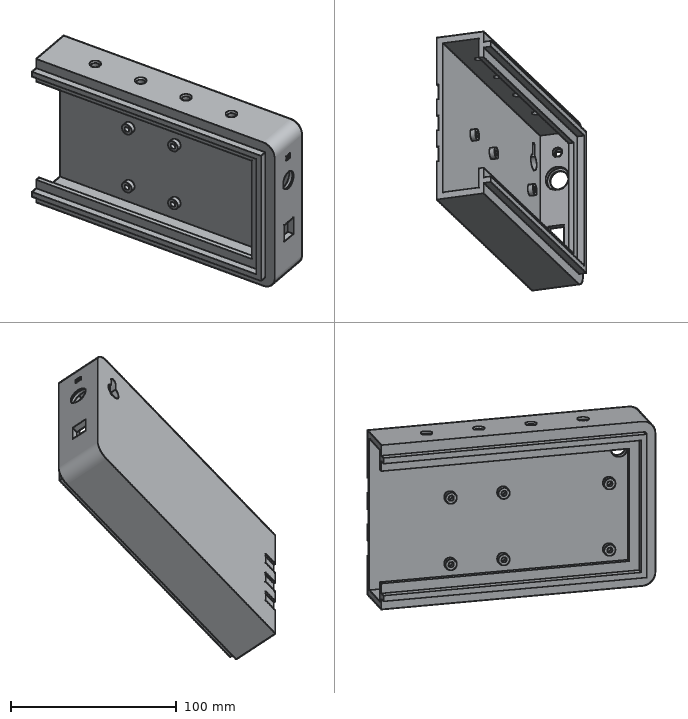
import cadquery as cq

length = 172.2
height = 104.5
total_depth = 35.0
lip_depth = 4.7
body_depth = total_depth - lip_depth
corner_radius = 8.3

wall = 4.1
front_wall = 3.1
opening_margin = 16.5
lip_margin = 6.7
lip_width = 3.6

top = height / 2
mid_depth = body_depth / 2
cavity_back = body_depth - wall

standoff_diameter = 7.0
standoff_bore = 3.3
standoff_height = 3.3
standoff_pitch = 33.2
last_standoff_x = length - 22.0
standoff_xs = [last_standoff_x - pitches * standoff_pitch for pitches in (0, 2, 3)]
upper_standoff_z = top - 45.6
standoff_row_gap = 42.2
standoff_zs = [upper_standoff_z, upper_standoff_z - standoff_row_gap]

top_hole_count = 4
top_hole_diameter = 5.0
top_hole_mouth = 7.0
top_hole_pitch = (length - corner_radius) / (top_hole_count + 1)

jack_diameter = 11.7
jack_recess_diameter = 15.0
jack_z = top - 33.0
button_recess_diameter = 6.0
button_width = 4.1
button_height = 3.1
button_z = top - 16.2
end_recess_depth = 3.1
socket_width = 10.0
socket_height = 11.9
socket_y = body_depth - 14.5
socket_z = top - 69.5

keyhole_diameter = 10.0
keyhole_slot_width = 4.3
keyhole_rise = 10.3
keyhole_x = length - 15.2
keyhole_z = top - 25.1

pocket_depth = 1.2
pocket_height = 9.6
pocket_length = 9.6
pocket_pitch = 20.0
middle_pocket_z = -2.8


def inset_block(margin, y_start, y_end):
    """Block from the open end, held back by margin from the top, bottom and far end."""
    block = cq.Workplane("XY").box(
        length - margin, y_end - y_start, height - 2 * margin, centered=(False, False, True)
    )
    return block.translate((0, y_start, 0))


def cylinder_y(diameter, x, z, y_start, y_end):
    """Cylinder along Y."""
    axis = cq.Vector(0, 1, 0)
    return cq.Workplane(cq.Solid.makeCylinder(diameter / 2, y_end - y_start, cq.Vector(x, y_start, z), axis))


def cylinder_x(diameter, z, x_start, x_end):
    """Cylinder along X at the middle of the body's depth."""
    axis = cq.Vector(1, 0, 0)
    start = cq.Vector(x_start, mid_depth, z)
    return cq.Workplane(cq.Solid.makeCylinder(diameter / 2, x_end - x_start, start, axis))


def make_shell():
    """Hollow body with rounded far corners, a front opening and a lip around that opening."""
    body = inset_block(0, 0, body_depth).edges("|Y and >X").fillet(corner_radius)
    cavity = inset_block(wall, front_wall, cavity_back)
    opening = inset_block(opening_margin, 0, front_wall)
    lip = inset_block(lip_margin, -lip_depth, 0)
    lip_inside = inset_block(lip_margin + lip_width, -lip_depth, 0)
    return body.cut(cavity).cut(opening).union(lip.cut(lip_inside))


def add_standoffs(part):
    for x in standoff_xs:
        for z in standoff_zs:
            tip = cavity_back - standoff_height
            part = part.union(cylinder_y(standoff_diameter, x, z, tip, cavity_back))
            part = part.cut(cylinder_y(standoff_bore, x, z, tip, cavity_back))
    return part


def cut_top_holes(part):
    sink_depth = (top_hole_mouth - top_hole_diameter) / 2
    down = cq.Vector(0, 0, -1)
    for index in range(1, top_hole_count + 1):
        mouth = cq.Vector(index * top_hole_pitch, mid_depth, top)
        bore = cq.Solid.makeCylinder(top_hole_diameter / 2, wall, mouth, down)
        sink = cq.Solid.makeCone(top_hole_mouth / 2, top_hole_diameter / 2, sink_depth, mouth, down)
        part = part.cut(cq.Workplane(bore)).cut(cq.Workplane(sink))
    return part


def cut_end_wall(part):
    inner_face = length - wall
    recess_floor = inner_face + end_recess_depth
    wall_middle = length - wall / 2

    part = part.cut(cylinder_x(jack_diameter, jack_z, inner_face, length))
    part = part.cut(cylinder_x(jack_recess_diameter, jack_z, inner_face, recess_floor))

    button = cq.Workplane("XY").box(wall, button_width, button_height)
    part = part.cut(button.translate((wall_middle, mid_depth, button_z)))
    part = part.cut(cylinder_x(button_recess_diameter, button_z, inner_face, recess_floor))

    socket = cq.Workplane("XY").box(wall, socket_width, socket_height)
    return part.cut(socket.translate((wall_middle, socket_y, socket_z)))


def cut_keyhole(part):
    slot_end_z = keyhole_z + keyhole_rise
    slot = cq.Workplane("XY").box(keyhole_slot_width, wall, keyhole_rise, centered=(True, False, False))
    part = part.cut(cylinder_y(keyhole_diameter, keyhole_x, keyhole_z, cavity_back, body_depth))
    part = part.cut(slot.translate((keyhole_x, cavity_back, keyhole_z)))
    return part.cut(cylinder_y(keyhole_slot_width, keyhole_x, slot_end_z, cavity_back, body_depth))


def cut_back_pockets(part):
    for step in (-1, 0, 1):
        pocket = cq.Workplane("XY").box(
            pocket_length, pocket_depth, pocket_height, centered=(False, False, True)
        )
        pocket_z = middle_pocket_z + step * pocket_pitch
        part = part.cut(pocket.translate((0, body_depth - pocket_depth, pocket_z)))
    return part


result = make_shell()
result = add_standoffs(result)
result = cut_top_holes(result)
result = cut_end_wall(result)
result = cut_keyhole(result)
result = cut_back_pockets(result)